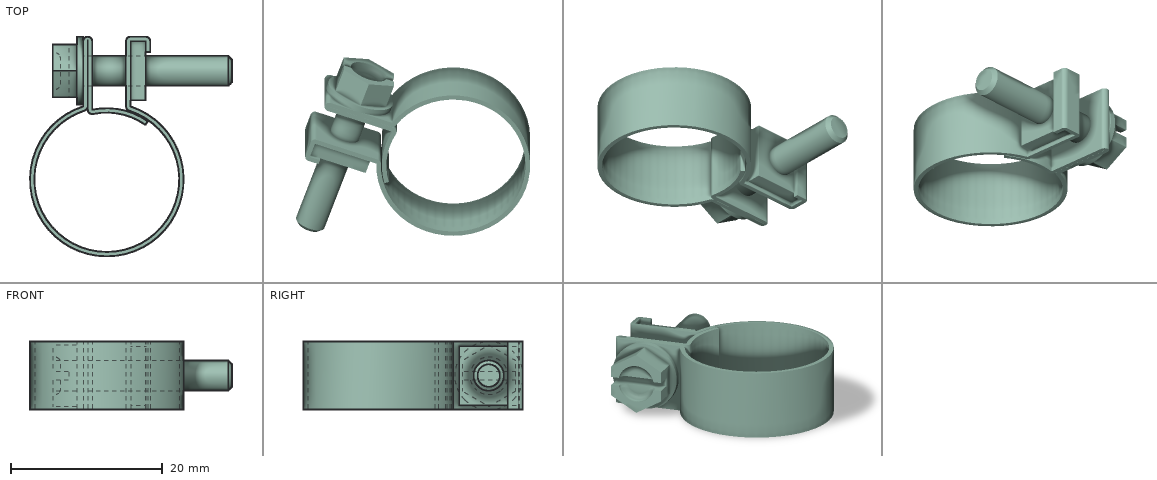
import cadquery as cq
import math

overall_length = 28.92
band_width = 9.0
sheet = 0.6
ring_radius = 10.12
tail_clearance = 0.12
tail_end_angle = 54.8
ear_inset = 2.52
fold_gap = 0.015
fold_crown = 0.5
hook_length = 2.02
inner_bend_radius = 0.12

shank_radius = 2.0
shank_end = 16.48
shank_chamfer = 0.52
flange_radius = band_width / 2
flange_thickness = 0.8
head_height = 3.2
head_across_flats = 7.0
recess_radius = 2.5
recess_depth = 1.0
recess_rounding = 0.78
slot_width = 1.1
slot_depth = 2.1

nut_side = 7.78
nut_thickness = 2.0

ear_top = overall_length - ring_radius
screw_y = ear_top - flange_radius
ring_inside = ring_radius - sheet
tail_outside = ring_inside - tail_clearance
tail_inside = tail_outside - sheet
ear_outer = ear_inset + sheet
leaf_inner = sheet - ear_inset
nut_end = ear_outer + nut_thickness
hook_outer = nut_end + sheet
head_seat = -ear_outer - flange_thickness
head_end = head_seat - head_height


def point_at_x(radius, x):
    """Point on the upper half of a circle about the ring axis, at the given x."""
    return (x, math.sqrt(radius**2 - x**2))


def point_at_angle(radius, degrees):
    """Point on a circle about the ring axis, at an angle from +X."""
    angle = math.radians(degrees)
    return (radius * math.cos(angle), radius * math.sin(angle))


def round_corner(body, point, radius):
    """Round the edge along Z that passes through the given XY point."""
    nearest = cq.selectors.NearestToPointSelector((*point, 0))
    return body.edges("|Z").edges(nearest).fillet(radius)


def along_screw(x):
    """Workplane square to the screw axis, at the given x."""
    return cq.Workplane("YZ", origin=(x, screw_y, 0))


def make_shank(start, end):
    """Plain cylinder of the screw shank, from start to end along X."""
    return along_screw(start).circle(shank_radius).extrude(end - start)


def make_band():
    gap_side = fold_gap / 2
    slit_left = -ear_inset - gap_side
    slit_right = -ear_inset + gap_side
    slit_top = ear_top - fold_crown
    hook_tip = ear_top - hook_length

    left_root_inner = point_at_x(ring_inside, slit_left)
    right_root_inner = point_at_x(ring_inside, ear_inset)
    tail_bend = point_at_x(tail_inside, slit_right)
    hook_inner = (ear_outer, ear_top - sheet)

    band = (
        cq.Workplane("XY", origin=(0, 0, -band_width / 2))
        .moveTo(*point_at_x(ring_radius, -ear_outer))
        .threePointArc((0, -ring_radius), point_at_x(ring_radius, ear_outer))
        .lineTo(*hook_inner)
        .lineTo(nut_end, ear_top - sheet)
        .lineTo(nut_end, hook_tip)
        .lineTo(hook_outer, hook_tip)
        .lineTo(hook_outer, ear_top)
        .lineTo(ear_inset, ear_top)
        .lineTo(*right_root_inner)
        .threePointArc((0, -ring_inside), left_root_inner)
        .lineTo(slit_left, slit_top)
        .lineTo(slit_right, slit_top)
        .lineTo(*tail_bend)
        .threePointArc((0, tail_inside), point_at_angle(tail_inside, tail_end_angle))
        .lineTo(*point_at_angle(tail_outside, tail_end_angle))
        .threePointArc((0, tail_outside), point_at_x(tail_outside, leaf_inner))
        .lineTo(leaf_inner, ear_top)
        .lineTo(-ear_outer, ear_top)
        .close()
        .extrude(band_width)
    )

    bend_radius = sheet - fold_gap
    bends = [
        left_root_inner,
        right_root_inner,
        tail_bend,
        (-ear_outer, ear_top),
        (leaf_inner, ear_top),
        (ear_inset, ear_top),
        (hook_outer, ear_top),
    ]
    for corner in bends:
        band = round_corner(band, corner, bend_radius)
    band = round_corner(band, hook_inner, inner_bend_radius)

    return band.cut(make_shank(-ear_outer, ear_outer))


def make_screw():
    flange = along_screw(head_seat).circle(flange_radius).extrude(flange_thickness)
    corner_diameter = head_across_flats / math.cos(math.pi / 6)
    head = (
        along_screw(head_end)
        .transformed(rotate=(0, 0, 90))
        .polygon(6, corner_diameter)
        .extrude(head_height)
    )
    shank = make_shank(-ear_outer, shank_end).faces(">X").chamfer(shank_chamfer)
    recess = along_screw(head_end).circle(recess_radius).extrude(recess_depth)
    recess = recess.faces(">X").edges().fillet(recess_rounding)
    slot = along_screw(head_end).rect(head_across_flats, slot_width).extrude(slot_depth)
    return head.union(flange).union(shank).cut(recess).cut(slot)


def make_nut():
    plate = along_screw(ear_outer).rect(nut_side, nut_side).extrude(nut_thickness)
    plate = round_corner(plate, (ear_outer, screw_y + nut_side / 2), inner_bend_radius)
    return plate.cut(make_shank(ear_outer, nut_end))


band = make_band()
screw = make_screw()
nut = make_nut()

result = cq.Compound.makeCompound([band.val(), screw.val(), nut.val()])